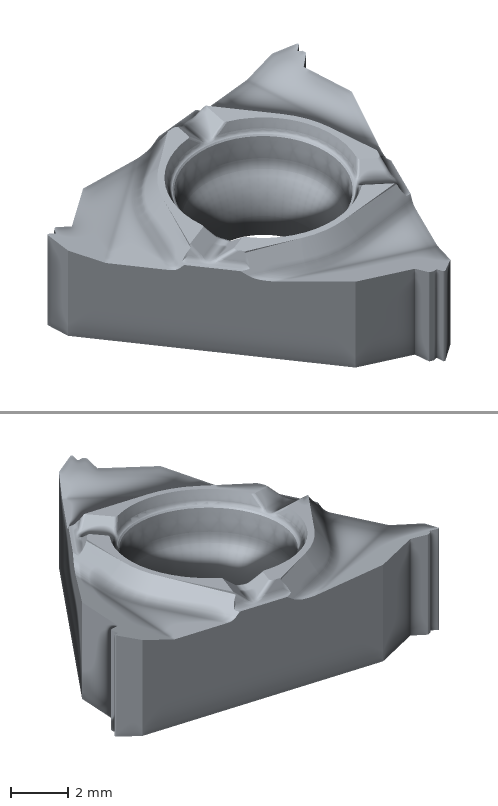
import cadquery as cq
import math

CORNERS = 3
TURN = 360 / CORNERS

inscribed_radius = 4.763
total_height = 4.2
floor_height = 3.39

shoulder_y = 6.19
flank_top_y = 6.08
thread_root_x = -3.4
thread_step = [(-3.74, 6.73), (-3.91, 6.73), (-4.05, 6.61)]
thread_step_round = 0.04
thread_tip = (-4.25, 6.95)
thread_tip_round = 0.05
slope_start_y = 4.73
rake_angle = 15
rake_blend_radius = 0.4
arm_reach = 8.44

boss_radius = 3.71
boss_arc_start = 90
boss_arc_angle = 31.5
wall_angle = 40
boss_root_radius = 0.4

hole_radius = 4.4 / 2
rim_radius = 3.46
ledge_wall_radius = 3.32
ledge_wall_end = 3.84
ledge_inner_radius = 3.18
ledge_height = 3.7
ledge_edge_round = 0.05
seat_top_radius = 3.01
seat_top_height = 2.76
seat_radius = 2.85
seat_height = 2.4
hole_top_height = 0.83

groove_direction = 165
groove_offset = 0.049
groove_width = 1.49
groove_depth = 0.46
groove_root_width = 0.27
groove_root_radius = 0.31
groove_length = 4.22
groove_exit_radius = 4.36
groove_start = 2.81
groove_mouth_round = 0.11
groove_exit_round = 0.17

notch_height = 3.69
notch_depth = 0.27
notch_low_y = -0.42
notch_high_y = 2.14
notch_taper = 24
notch_radius = 0.27


def turned(shape, step):
    return shape.rotate((0, 0, 0), (0, 0, 1), step * TURN)


def on_every_corner(shape):
    pattern = shape
    for step in range(1, CORNERS):
        pattern = pattern.union(turned(shape, step))
    return pattern


def rotated_point(point, degrees):
    angle = math.radians(degrees)
    x, y = point
    return (
        x * math.cos(angle) - y * math.sin(angle),
        x * math.sin(angle) + y * math.cos(angle),
    )


def insert_outline():
    side = math.radians(60)
    shoulder_end_x = (inscribed_radius - shoulder_y * math.sin(side)) / math.cos(side)
    corner = [
        (shoulder_end_x, shoulder_y),
        (thread_root_x, shoulder_y),
        *thread_step,
        thread_tip,
        (-inscribed_radius, flank_top_y),
    ]
    points = []
    for step in range(CORNERS):
        points += [rotated_point(point, step * TURN) for point in corner]
    outline = cq.Workplane("XY").polyline(points).close().extrude(total_height)

    roundings = [(point, thread_step_round) for point in thread_step]
    roundings.append((thread_tip, thread_tip_round))
    for step in range(CORNERS):
        for point, radius in roundings:
            edge = (*rotated_point(point, step * TURN), total_height / 2)
            outline = outline.edges(cq.selectors.NearestToPointSelector(edge)).fillet(radius)
    return outline


def floor_and_rake():
    rise = math.tan(math.radians(rake_angle))
    blend = rake_blend_radius * math.tan(math.radians(rake_angle / 2))
    blend_end = (
        slope_start_y + blend * math.cos(math.radians(rake_angle)),
        floor_height + blend * math.sin(math.radians(rake_angle)),
    )
    arm = (
        cq.Workplane("YZ")
        .moveTo(0, 0)
        .lineTo(0, floor_height)
        .lineTo(slope_start_y - blend, floor_height)
        .tangentArcPoint(blend_end, relative=False)
        .lineTo(arm_reach, floor_height + rise * (arm_reach - slope_start_y))
        .lineTo(arm_reach, 0)
        .close()
        .extrude(arm_reach, both=True)
    )
    floor = cq.Workplane("XY").circle(arm_reach).extrude(floor_height)
    return floor.union(on_every_corner(arm))


def boss_profile(plane):
    slope = math.radians(wall_angle)
    foot = boss_radius + (total_height - floor_height) * math.tan(slope)
    blend = boss_root_radius * math.tan((math.pi / 2 - slope) / 2)
    blend_start = (
        foot - blend * math.sin(slope),
        floor_height + blend * math.cos(slope),
    )
    return (
        cq.Workplane(plane)
        .moveTo(0, 0)
        .lineTo(0, total_height)
        .lineTo(boss_radius, total_height)
        .lineTo(*blend_start)
        .tangentArcPoint((foot + blend, floor_height), relative=False)
        .lineTo(foot + blend, 0)
        .close()
    )


def boss():
    axis = ((0, 0, 0), (0, 0, 1))
    arc = boss_profile("XZ").revolve(boss_arc_angle, (0, 0), (0, 1))
    wall_before = boss_profile("XZ").extrude(boss_radius)
    wall_after = boss_profile("XZ").extrude(-boss_radius)
    sector = (
        arc.rotate(*axis, boss_arc_start)
        .union(wall_before.rotate(*axis, boss_arc_start))
        .union(wall_after.rotate(*axis, boss_arc_start + boss_arc_angle))
    )
    return on_every_corner(sector)


def bore():
    wall_radius = ledge_inner_radius - ledge_edge_round
    run = seat_radius - hole_radius
    drop = seat_height - hole_top_height
    sweep = 2 * math.atan2(run, drop)
    curve_radius = drop / math.sin(sweep)
    seat_curve_middle = (
        hole_radius + curve_radius * (1 - math.cos(sweep / 2)),
        hole_top_height + curve_radius * math.sin(sweep / 2),
    )
    return (
        cq.Workplane("XZ")
        .moveTo(0, total_height)
        .lineTo(rim_radius, total_height)
        .lineTo(ledge_wall_radius, ledge_wall_end)
        .tangentArcPoint((ledge_inner_radius, ledge_height), relative=False)
        .lineTo(wall_radius, ledge_height - ledge_edge_round)
        .lineTo(seat_top_radius, seat_top_height)
        .tangentArcPoint((seat_radius, seat_height), relative=False)
        .threePointArc(seat_curve_middle, (hole_radius, hole_top_height))
        .lineTo(hole_radius, 0)
        .lineTo(0, 0)
        .close()
        .revolve(360, (0, 0), (0, 1))
    )


def v_groove():
    groove = (
        cq.Workplane("YZ")
        .workplane(offset=groove_start)
        .polyline([
            (groove_offset - groove_width / 2, total_height),
            (groove_offset - groove_root_width / 2, total_height - groove_depth),
            (groove_offset + groove_root_width / 2, total_height - groove_depth),
            (groove_offset + groove_width / 2, total_height),
        ])
        .close()
        .extrude(groove_length)
        .faces("<Z")
        .edges("|X")
        .fillet(groove_root_radius)
    )
    return groove.rotate((0, 0, 0), (0, 0, 1), groove_direction)


def side_notch():
    height = total_height - notch_height
    lean = height * math.tan(math.radians(notch_taper))
    return (
        cq.Workplane("XZ", origin=(-inscribed_radius, notch_high_y, notch_height))
        .polyline([
            (-notch_depth, 0),
            (notch_depth, 0),
            (notch_depth + lean, height),
            (-notch_depth, height),
        ])
        .close()
        .extrude(notch_high_y - notch_low_y)
        .faces(">X")
        .edges("not(>Z)")
        .fillet(notch_radius)
    )


def groove_edge_near(radius, step):
    wall_offset = groove_offset + (groove_width + groove_root_width) / 4
    x, y = rotated_point((radius, wall_offset), groove_direction + step * TURN)
    return cq.selectors.NearestToPointSelector((x, y, total_height - groove_depth / 2))


def clearances():
    notched_groove = (
        v_groove()
        .union(side_notch())
        .edges(groove_edge_near(groove_exit_radius, 0))
        .fillet(groove_exit_round)
    )
    joined = bore().union(on_every_corner(notched_groove))
    for step in range(CORNERS):
        joined = joined.edges(groove_edge_near(rim_radius, step)).fillet(groove_mouth_round)
    return joined


result = (
    floor_and_rake()
    .union(boss())
    .intersect(insert_outline())
    .cut(clearances())
)